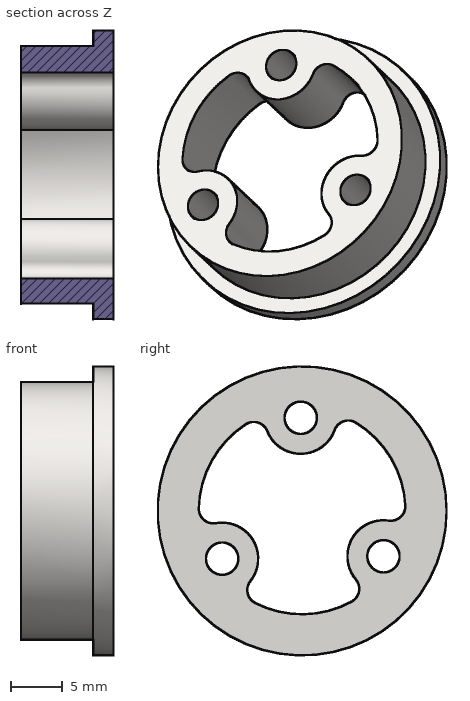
import cadquery as cq

flange_diameter = 28.0
sleeve_diameter = 25.0
sleeve_length = 7.0
flange_thickness = 2.0
total_length = sleeve_length + flange_thickness

bore_diameter = 20.0
lobe_count = 3
lobe_radius = 3.5
lobe_fillet = 1.4
screw_hole_diameter = 3.1
screw_circle_radius = 9.02
first_lobe_angle = 90.85


def lobe_cylinders(radius):
    """Full-length cylinders parallel to X, one at each lobe centre."""
    return (
        cq.Workplane("YZ")
        .polarArray(screw_circle_radius, first_lobe_angle, 360, lobe_count)
        .circle(radius)
        .extrude(total_length)
    )


def ring_blank():
    sleeve = cq.Workplane("YZ").circle(sleeve_diameter / 2).extrude(sleeve_length)
    return sleeve.faces(">X").workplane().circle(flange_diameter / 2).extrude(flange_thickness)


def lobed_opening():
    """The bore minus the lobes, with the corners where they meet rounded."""
    bore = (
        cq.Workplane("YZ")
        .transformed(rotate=(0, 0, first_lobe_angle))
        .circle(bore_diameter / 2)
        .extrude(total_length)
    )
    opening = bore.cut(lobe_cylinders(lobe_radius))
    return opening.edges("|X").fillet(lobe_fillet)


result = ring_blank().cut(lobed_opening()).cut(lobe_cylinders(screw_hole_diameter / 2))